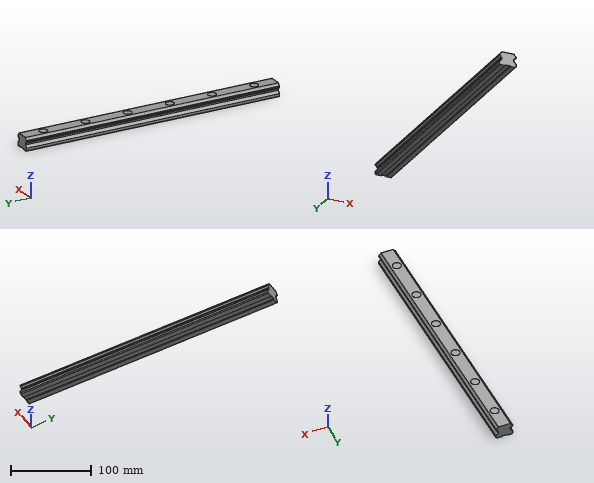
import cadquery as cq

length = 360.0
width = 23.0
height = 18.0
half_width = width / 2

top_half_width = 8.3
shoulder_half_width = 9.0
shoulder_z = 17.0
tip_inset = 0.5
tip_upper_z = 14.8
tip_side_top_z = 14.0
tip_side_bottom_z = 13.5
tip_lower_z = 12.5
upper_hollow_radius = 4.5
lower_hollow_radius = 2.0

lip_half_width = 9.5
lip_z = 10.5
waist_half_width = 8.3
waist_top_z = 10.0
waist_bottom_z = 8.0

base_side_top_z = height / 4
base_chamfer = 1.25
relief_half_width = 3.5
relief_floor_half_width = 3.0
relief_depth = 0.9

plug_count = 6
plug_pitch = length / plug_count
plug_diameter = 11.0
plug_recess = 0.18


def half_rail():
    """Build the half of the rail on the +X side of its symmetry plane."""
    tip_half_width = half_width - tip_inset
    profile = (
        cq.Workplane("XZ")
        .moveTo(0, relief_depth)
        .lineTo(relief_floor_half_width, relief_depth)
        .lineTo(relief_half_width, 0)
        .lineTo(half_width - base_chamfer, 0)
        .lineTo(half_width, base_chamfer)
        .lineTo(half_width, base_side_top_z)
        .lineTo(waist_half_width, waist_bottom_z)
        .lineTo(waist_half_width, waist_top_z)
        .lineTo(lip_half_width, lip_z)
        .radiusArc((tip_half_width, tip_lower_z), lower_hollow_radius)
        .lineTo(half_width, tip_side_bottom_z)
        .lineTo(half_width, tip_side_top_z)
        .lineTo(tip_half_width, tip_upper_z)
        .radiusArc((shoulder_half_width, shoulder_z), upper_hollow_radius)
        .lineTo(top_half_width, height)
        .lineTo(0, height)
        .close()
    )
    return profile.extrude(length / 2, both=True)


def rail_body():
    """Join the half rail with its mirror image."""
    half = half_rail()
    return half.union(half.mirror("YZ")).clean()


def plug_recesses():
    """Shallow discs to cut where the plug faces sit."""
    return (
        cq.Workplane("XY", origin=(0, 0, height - plug_recess))
        .rarray(3.5, plug_pitch, 1, plug_count)
        .circle(plug_diameter / 2)
        .extrude(plug_recess)
    )


result = rail_body().cut(plug_recesses())